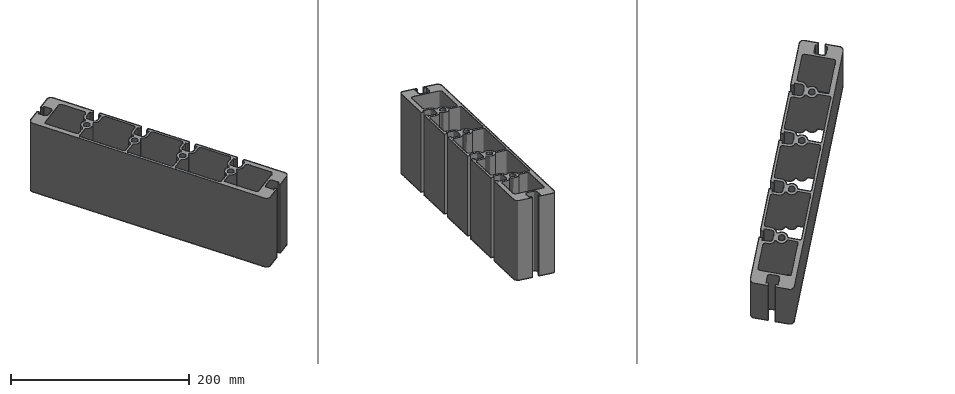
import cadquery as cq

length = 300.0
depth = 50.0
height = 100.0
corner_radius = 5.0

station_pitch = 60.0
station_count = 4
thin_wall = 3.0
web_thickness = 3.0

top_slot_opening = 8.0
top_slot_width = 13.8
top_slot_depth = 15.5
top_slot_radius = 3.5
top_lip = 4.0
housing_width = top_slot_width + 2 * thin_wall
housing_depth = top_slot_depth + thin_wall
housing_radius = top_slot_radius + thin_wall

boss_diameter = 13.8
bore_diameter = 7.2
neck_width = 9.5
boss_blend_radius = 1.2

end_wall = 16.5
end_cell_wall = 6.0
side_slot_opening = 8.0
side_slot_width = 13.8
side_slot_depth = 13.8
side_slot_radius = 3.0
side_lip = 3.0

cell_top_radius = 3.0
cell_bottom_radius = 1.5
end_cell_radius = 2.7

top = depth / 2
end = length / 2
first_station = -station_pitch * (station_count - 1) / 2
stations = [first_station + i * station_pitch for i in range(station_count)]


def prism(x_min, x_max, y_min, y_max):
    """Full-height block between the given X and Y limits."""
    block = cq.Workplane("XY").box(x_max - x_min, y_max - y_min, height, centered=False)
    return block.translate((x_min, y_min, 0))


def station_body(x):
    """Slot housing, neck, boss and web standing between two cells."""
    housing = prism(x - housing_width / 2, x + housing_width / 2, top - housing_depth, top)
    housing = housing.edges("|Z and <Y").fillet(housing_radius)
    neck = prism(x - neck_width / 2, x + neck_width / 2, 0, top - top_slot_depth)
    boss = cq.Workplane("XY").center(x, 0).circle(boss_diameter / 2).extrude(height)
    web = prism(x - web_thickness / 2, x + web_thickness / 2, -top, 0)
    joined = housing.union(neck).union(boss).union(web)
    half_boss = boss_diameter / 2
    joint_zone = cq.selectors.BoxSelector((x - half_boss, -half_boss, 0), (x + half_boss, half_boss, height))
    return joined.edges("|Z").edges(joint_zone).fillet(boss_blend_radius)


def cell(x_min, x_max, wall, left_bottom_radius):
    """Hollow between two X limits, shaped around the station bodies."""
    hollow = prism(x_min, x_max, -top + wall, top - wall)
    for x in stations:
        if x_min <= x <= x_max:
            hollow = hollow.cut(station_body(x))
    hollow = hollow.edges("|Z and >Y").fillet(cell_top_radius)
    hollow = hollow.edges("|Z and <Y").edges("<X").fillet(left_bottom_radius)
    return hollow.faces("<Y").edges("|Z and >X").fillet(cell_bottom_radius)


def top_slot(x):
    """T-slot open at the top face."""
    chamber = prism(x - top_slot_width / 2, x + top_slot_width / 2, top - top_slot_depth, top - top_lip)
    chamber = chamber.edges("|Z and <Y").fillet(top_slot_radius)
    opening = prism(x - top_slot_opening / 2, x + top_slot_opening / 2, top - top_slot_depth / 2, top)
    return chamber.union(opening)


def left_slot():
    """T-slot open at the -X end."""
    chamber = prism(-end + side_lip, -end + side_slot_depth, -side_slot_width / 2, side_slot_width / 2)
    chamber = chamber.edges("|Z and >X").fillet(side_slot_radius)
    opening = prism(-end, -end + side_slot_depth / 2, -side_slot_opening / 2, side_slot_opening / 2)
    return chamber.union(opening)


body = prism(-end, end, -top, top).edges("|Z").fillet(corner_radius)

for left, right in zip(stations, stations[1:]):
    body = body.cut(cell(left, right, thin_wall, cell_bottom_radius))

end_cell = cell(-end + end_wall, stations[0], end_cell_wall, end_cell_radius)
body = body.cut(end_cell).cut(end_cell.mirror("YZ"))

for x in stations:
    body = body.cut(top_slot(x))

body = body.cut(left_slot()).cut(left_slot().mirror("YZ"))

bores = cq.Workplane("XY").pushPoints([(x, 0) for x in stations]).circle(bore_diameter / 2).extrude(height)
result = body.cut(bores)